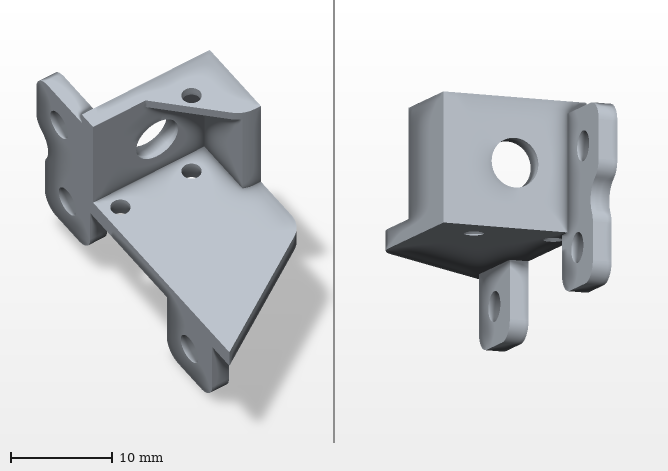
import cadquery as cq
import math

length = 34.0
depth = 15.3
height = 21.2

thickness = 2.0
flange_thickness = 1.0

plate_bottom = 8.0
plate_top = plate_bottom + thickness
plate_back_length = 16.0
plate_corner_radius = 3.0

wall_left = 8.0
wall_inner = wall_left + thickness
gusset_right = 17.0
gusset_start_y = 6.3
gusset_corner_radius = 3.0
bore_diameter = 5.0

tab_width = 8.0
tab_radius = 2.0
mount_hole_diameter = 3.1
ear_top = 20.0
ear_hole_x = 4.0
ear_hole_z = ear_top - tab_width / 2
left_tab_left = 1.5
left_tab_bottom = 2.0
right_tab_left = 23.0

relief_radius = 2.5
relief_x = -0.45
relief_z = 10.15

pin_hole_diameter = 2.0
pin_hole_x = wall_inner + thickness
pin_hole_ys = (1.9, 10.4)


def extrude_from_front(outline, distance):
    """Extrude an XZ outline toward +Y from the front face."""
    return outline.extrude(-distance)


def base_plate():
    back_right = wall_left + plate_back_length
    plate = (
        cq.Workplane("XY", origin=(0, 0, plate_bottom))
        .moveTo(wall_left, 0)
        .lineTo(length, 0)
        .lineTo(back_right, depth)
        .lineTo(wall_left, depth)
        .close()
        .extrude(thickness)
    )
    corner = cq.selectors.NearestToPointSelector((back_right, depth, plate_bottom + thickness / 2))
    return plate.edges("|Z").edges(corner).fillet(plate_corner_radius)


def upright_wall():
    """Wall with a 45 degree gusset, hollowed to leave a top flange and a back wall."""
    diagonal_end_y = gusset_start_y + gusset_right - wall_inner
    tangent = gusset_corner_radius * math.tan(math.radians(22.5))
    diagonal_setback = tangent * math.cos(math.radians(45))
    arc_center_x = gusset_right - gusset_corner_radius
    arc_center_y = diagonal_end_y + tangent
    mid_angle = math.radians(-22.5)
    arc_middle = (
        arc_center_x + gusset_corner_radius * math.cos(mid_angle),
        arc_center_y + gusset_corner_radius * math.sin(mid_angle),
    )
    wall = (
        cq.Workplane("XY", origin=(0, 0, plate_bottom))
        .moveTo(wall_left, 0)
        .lineTo(wall_inner, 0)
        .lineTo(wall_inner, gusset_start_y)
        .lineTo(gusset_right - diagonal_setback, diagonal_end_y - diagonal_setback)
        .threePointArc(arc_middle, (gusset_right, arc_center_y))
        .lineTo(gusset_right, depth)
        .lineTo(wall_left, depth)
        .close()
        .extrude(height - plate_bottom)
    )
    hollow = cq.Workplane("XY").box(
        gusset_right - wall_inner,
        depth - thickness,
        height - flange_thickness - plate_top,
        centered=False,
    )
    return wall.cut(hollow.translate((wall_inner, 0, plate_top)))


def ear_outline():
    """Ear and left tab outline, with the relief tangent to both convex roundings."""
    center_distance = relief_radius + tab_radius
    upper_dx = tab_radius - relief_x
    upper_dz = math.sqrt(center_distance**2 - upper_dx**2)
    lower_dx = left_tab_left + tab_radius - relief_x
    lower_dz = math.sqrt(center_distance**2 - lower_dx**2)
    upper_z = relief_z + upper_dz
    lower_z = relief_z - lower_dz
    relief_share = relief_radius / center_distance
    upper_join = (relief_x + upper_dx * relief_share, relief_z + upper_dz * relief_share)
    lower_join = (relief_x + lower_dx * relief_share, relief_z - lower_dz * relief_share)
    upper_half_angle = math.atan2(upper_dz, upper_dx) / 2
    lower_half_angle = math.atan2(lower_dz, lower_dx) / 2
    upper_middle = (
        tab_radius - tab_radius * math.cos(upper_half_angle),
        upper_z - tab_radius * math.sin(upper_half_angle),
    )
    lower_middle = (
        left_tab_left + tab_radius - tab_radius * math.cos(lower_half_angle),
        lower_z + tab_radius * math.sin(lower_half_angle),
    )
    tab_right = left_tab_left + tab_width
    return (
        cq.Workplane("XZ")
        .moveTo(0, ear_top)
        .lineTo(0, upper_z)
        .threePointArc(upper_middle, upper_join)
        .threePointArc((relief_x + relief_radius, relief_z), lower_join)
        .threePointArc(lower_middle, (left_tab_left, lower_z))
        .lineTo(left_tab_left, left_tab_bottom)
        .lineTo(tab_right, left_tab_bottom)
        .lineTo(tab_right, plate_top)
        .lineTo(wall_inner, plate_top)
        .lineTo(wall_inner, ear_top)
        .close()
    )


def mounting_ear():
    ear = extrude_from_front(ear_outline(), thickness)
    ear = ear.edges("|Y and <Z").fillet(tab_radius)
    top_corner = cq.selectors.NearestToPointSelector((0, thickness / 2, ear_top))
    return ear.edges("|Y").edges(top_corner).fillet(tab_radius)


def right_tab():
    outline = (
        cq.Workplane("XZ")
        .moveTo(right_tab_left, 0)
        .lineTo(right_tab_left + tab_width, 0)
        .lineTo(right_tab_left + tab_width, plate_top)
        .lineTo(right_tab_left, plate_top)
        .close()
    )
    return extrude_from_front(outline, thickness).edges("|Y and <Z").fillet(tab_radius)


def mounting_holes():
    centers = [
        (ear_hole_x, ear_hole_z),
        (left_tab_left + tab_width / 2, left_tab_bottom + tab_width / 2),
        (right_tab_left + tab_width / 2, tab_width / 2),
    ]
    circles = cq.Workplane("XZ").pushPoints(centers).circle(mount_hole_diameter / 2)
    return extrude_from_front(circles, thickness)


def wall_bore():
    center_z = (plate_bottom + height) / 2
    return (
        cq.Workplane("YZ", origin=(wall_left, 0, 0))
        .center(depth / 2, center_z)
        .circle(bore_diameter / 2)
        .extrude(thickness)
    )


def pin_holes():
    centers = [(pin_hole_x, y) for y in pin_hole_ys]
    return cq.Workplane("XY").pushPoints(centers).circle(pin_hole_diameter / 2).extrude(height)


body = base_plate().union(upright_wall()).union(mounting_ear()).union(right_tab())
result = body.cut(mounting_holes()).cut(wall_bore()).cut(pin_holes())